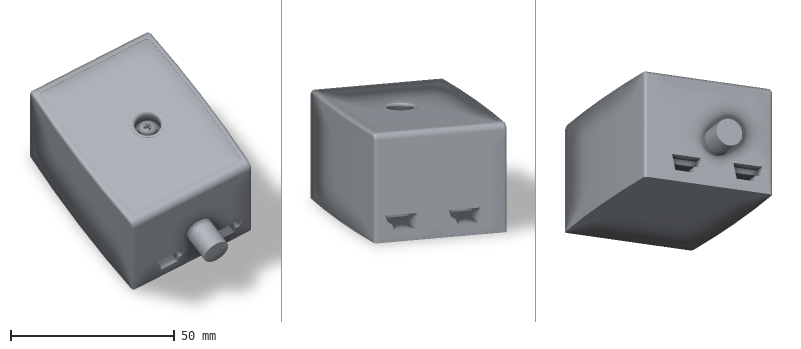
import cadquery as cq
import math

length = 60.0
end_width = 43.0
middle_width = 45.0
height = 34.5
base_height = 8.5
corner_radius = 1.0
end_edge_radius = 2.0

label_end_margin = 2.75
label_side_margin = 1.75
label_corner_radius = 1.5
label_depth = 0.15

screw_y = 2.6
collar_diameter = 10.67
lip_diameter = 10.0
pocket_diameter = 8.0
lip_radius = (lip_diameter - pocket_diameter) / 2
pocket_depth = 4.0

head_diameter = 5.6
head_top_depth = 1.3
head_dome_height = 1.1
shank_diameter = 3.0
shank_tip_z = 3.0
cross_length = 3.6
cross_arm_width = 0.8
cross_depth = 1.6
cross_tip_diameter = 0.8
tick_length = 2.8
tick_width = 0.25
tick_depth = 0.5

stub_y = 2.4
stub_z = 14.55
stub_length = 10.0
stub_root_diameter = 8.8
stub_tip_diameter = 8.6
stub_collar_diameter = 9.2
stub_collar_length = 0.75

channel_pitch = 20.6
channel_top_y = 18.0
channel_top_width = 10.55
channel_floor_z = 3.5
step_z = 5.4
step_outer_inset = 0.95
step_inner_inset = 2.25
floor_keyed_inset = 2.9
floor_plain_inset = 1.1
plain_wall_taper = 0.8

clamp_drop = 1.7
clamp_recess = 4.0
pin_insets = (3.95, 7.65)
pin_diameter = 0.9
pin_drop = 1.8

cover_height = height - base_height
seat_z = height - pocket_depth
channel_edges = [channel_top_y, channel_top_y - channel_pitch]


def bowed_outline(half_length, half_end, half_middle):
    """Closed outline with straight ends and bowed long sides, centred on the origin."""
    return (
        cq.Workplane("XY")
        .moveTo(-half_length, -half_end)
        .threePointArc((0, -half_middle), (half_length, -half_end))
        .lineTo(half_length, half_end)
        .threePointArc((0, half_middle), (-half_length, half_end))
        .close()
    )


def base_block():
    block = bowed_outline(length / 2, end_width / 2, middle_width / 2).extrude(base_height)
    return block.edges("|Z").fillet(corner_radius)


def rounded_cover_block():
    """Upper block: the end edges are rounded first, then the rim of each bowed side."""
    block = bowed_outline(length / 2, end_width / 2, middle_width / 2).extrude(cover_height)
    block = block.edges(">Z and |Y").fillet(end_edge_radius)
    side_rims = block.faces("<Y or >Y").edges("not <Z")
    return side_rims.fillet(corner_radius).translate((0, 0, base_height))


def disc(diameter, bottom_z, top_z):
    return (
        cq.Workplane("XY", origin=(0, screw_y, bottom_z))
        .circle(diameter / 2)
        .extrude(top_z - bottom_z)
    )


def label_recess():
    field = (
        bowed_outline(
            length / 2 - label_end_margin,
            end_width / 2 - label_side_margin,
            middle_width / 2 - label_side_margin,
        )
        .extrude(label_depth)
        .edges("|Z")
        .fillet(label_corner_radius)
        .translate((0, 0, height - label_depth))
    )
    return field.cut(disc(collar_diameter, height - label_depth, height))


def screw_pocket():
    """Round pocket whose mouth flares out over a quarter-round lip."""
    inner = pocket_diameter / 2
    outer = lip_diameter / 2
    lip_mid_x = outer - lip_radius * math.sin(math.pi / 4)
    lip_mid_z = -lip_radius + lip_radius * math.sin(math.pi / 4)
    profile = (
        cq.Workplane("XZ")
        .moveTo(0, 0)
        .lineTo(outer, 0)
        .threePointArc((lip_mid_x, lip_mid_z), (inner, -lip_radius))
        .lineTo(inner, -pocket_depth)
        .lineTo(0, -pocket_depth)
        .close()
    )
    return profile.revolve(360, (0, 0, 0), (0, 1, 0)).translate((0, screw_y, height))


def channel_wire(x, keyed_y, taper):
    """Keyed trapezoid of one flat cable, its plain side moved inward by taper."""
    plain_y = keyed_y - channel_top_width + taper
    points = [
        (keyed_y, base_height),
        (keyed_y - step_outer_inset, step_z),
        (keyed_y - step_inner_inset, step_z),
        (keyed_y - floor_keyed_inset, channel_floor_z),
        (plain_y + floor_plain_inset, channel_floor_z),
        (plain_y, base_height),
    ]
    return cq.Wire.makePolygon([cq.Vector(x, y, z) for y, z in points], close=True)


def channel(keyed_y):
    near = channel_wire(-length / 2, keyed_y, 0)
    far = channel_wire(length / 2, keyed_y, plain_wall_taper)
    return cq.Workplane(obj=cq.Solid.makeLoft([near, far], True))


def clamp(keyed_y):
    """Part of the cover that fills the top of a channel and presses on the cable."""
    window = cq.Workplane("XY", origin=(0, 0, base_height - clamp_drop)).box(
        length - 2 * clamp_recess, 2 * middle_width, clamp_drop, centered=(True, True, False)
    )
    return channel(keyed_y).intersect(window)


def contact_pin(y):
    root_z = base_height - clamp_drop
    cone = cq.Solid.makeCone(
        pin_diameter / 2, 0, pin_drop, pnt=cq.Vector(0, y, root_z), dir=cq.Vector(0, 0, -1)
    )
    return cq.Workplane(obj=cone)


def cable_stub():
    start_x = length / 2
    axis = cq.Vector(1, 0, 0)
    root = cq.Vector(start_x, stub_y, stub_z)
    collar = cq.Solid.makeCone(
        stub_collar_diameter / 2, stub_root_diameter / 2, stub_collar_length, root, axis
    )
    barrel = cq.Solid.makeCone(stub_root_diameter / 2, stub_tip_diameter / 2, stub_length, root, axis)
    return cq.Workplane(obj=collar).union(cq.Workplane(obj=barrel))


def make_base():
    base = base_block()
    for keyed_y in channel_edges:
        base = base.cut(channel(keyed_y))
    return base.cut(disc(shank_diameter, shank_tip_z, base_height))


def make_cover():
    cover = rounded_cover_block().union(cable_stub())
    for keyed_y in channel_edges:
        cover = cover.union(clamp(keyed_y))
        for inset in pin_insets:
            cover = cover.union(contact_pin(keyed_y - inset))
    cover = cover.cut(label_recess()).cut(screw_pocket())
    return cover.cut(disc(shank_diameter, base_height, seat_z))


def cross_recess():
    """Cross whose four arms slope down to a narrow tip, with a shallow tick between arms."""
    crown_z = height - head_top_depth
    centre = cq.Vector(0, screw_y, crown_z)
    above_centre = cq.Vector(0, screw_y, height)

    def slot(slot_length, slot_width, slot_depth, angle):
        bar = cq.Workplane("XY", origin=centre).rect(slot_length, slot_width).extrude(-slot_depth)
        return bar.rotate(centre, above_centre, angle)

    slope = cq.Solid.makeCone(
        cross_length / 2, cross_tip_diameter / 2, cross_depth, centre, cq.Vector(0, 0, -1)
    )
    arms = slot(cross_length, cross_arm_width, cross_depth, 0)
    arms = arms.union(slot(cross_length, cross_arm_width, cross_depth, 90))
    recess = arms.intersect(cq.Workplane(obj=slope))
    for angle in (45, 135):
        recess = recess.union(slot(tick_length, tick_width, tick_depth, angle))
    return recess


def make_screw():
    head_radius = head_diameter / 2
    crown_z = height - head_top_depth
    rim_z = crown_z - head_dome_height
    sphere_radius = (head_radius**2 + head_dome_height**2) / (2 * head_dome_height)
    mid_x = head_radius / 2
    mid_z = crown_z - sphere_radius + math.sqrt(sphere_radius**2 - mid_x**2)
    profile = (
        cq.Workplane("XZ")
        .moveTo(0, shank_tip_z)
        .lineTo(shank_diameter / 2, shank_tip_z)
        .lineTo(shank_diameter / 2, seat_z)
        .lineTo(head_radius, seat_z)
        .lineTo(head_radius, rim_z)
        .threePointArc((mid_x, mid_z), (0, crown_z))
        .close()
    )
    screw = profile.revolve(360, (0, 0, 0), (0, 1, 0)).translate((0, screw_y, 0))
    return screw.cut(cross_recess())


base = make_base()
cover = make_cover()
screw = make_screw()

result = cq.Compound.makeCompound([body.solids().val() for body in (base, cover, screw)])